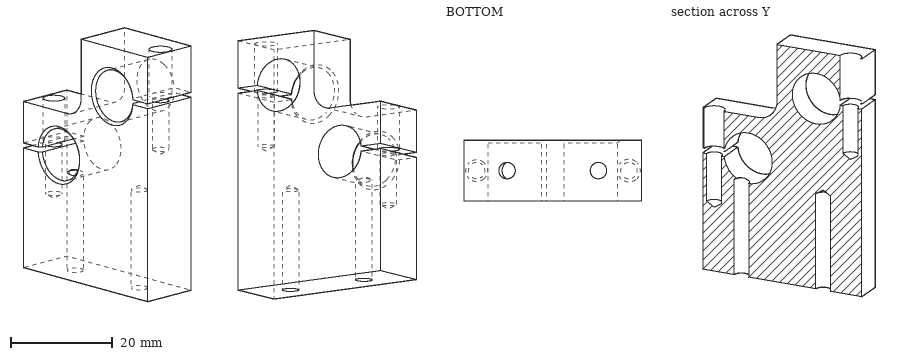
import cadquery as cq
import math

width = 35.0
thickness = 12.0
height = 50.0

step_x = 16.3
step_z = 34.0
step_fillet = 4.0

bore_diameter = 10.5
bore_chamfer = 0.6
left_bore_x = 10.0
left_bore_z = 25.0
bore_offset = 15.0
right_bore_x = left_bore_x + bore_offset
right_bore_z = left_bore_z + bore_offset

slit_height = 1.0

screw_edge_distance = 2.5
left_clearance_diameter = 4.3
right_clearance_diameter = 4.5
tap_drill_diameter = 3.24
tap_depth = 10.0
drill_point_angle = 118.0

base_hole_spacing = 18.0
base_hole_depth = 20.0


def stepped_block():
    return (
        cq.Workplane("XY")
        .moveTo(0, 0)
        .lineTo(width, 0)
        .lineTo(width, height)
        .lineTo(step_x, height)
        .lineTo(step_x, step_z + step_fillet)
        .radiusArc((step_x - step_fillet, step_z), step_fillet)
        .lineTo(0, step_z)
        .close()
        .extrude(thickness)
        .rotate((0, 0, 0), (1, 0, 0), 90)
        .translate((0, thickness, 0))
    )


def bore(x, z):
    """Through bore along Y with a 45 degree chamfer at the front face."""
    radius = bore_diameter / 2
    axis = cq.Vector(0, 1, 0)
    mouth = cq.Vector(x, 0, z)
    hole = cq.Solid.makeCylinder(radius, thickness, mouth, axis)
    chamfer = cq.Solid.makeCone(radius + bore_chamfer, radius, bore_chamfer, mouth, axis)
    return hole.fuse(chamfer)


def slit(bore_x, side_x, z):
    """Slit through the full thickness from a bore axis to a side face."""
    length = abs(side_x - bore_x)
    return (
        cq.Workplane("XY")
        .box(length, thickness, slit_height)
        .translate(((bore_x + side_x) / 2, thickness / 2, z))
    )


def tapping_hole(x, start_z, depth, direction):
    """Blind tapping hole along Z with a conical end; direction is +1 up, -1 down."""
    radius = tap_drill_diameter / 2
    point_depth = radius / math.tan(math.radians(drill_point_angle / 2))
    axis = cq.Vector(0, 0, direction)
    start = cq.Vector(x, thickness / 2, start_z)
    shaft = cq.Solid.makeCylinder(radius, depth, start, axis)
    point = cq.Solid.makeCone(radius, 0, point_depth, start + axis * depth, axis)
    return shaft.fuse(point)


def screw_hole(x, top_z, slit_z, clearance_diameter):
    """Clearance hole down to the slit, then a tapping hole below it."""
    bottom = cq.Vector(x, thickness / 2, slit_z)
    up = cq.Vector(0, 0, 1)
    clearance = cq.Solid.makeCylinder(clearance_diameter / 2, top_z - slit_z, bottom, up)
    tapping = tapping_hole(x, slit_z, slit_height / 2 + tap_depth, -1)
    return clearance.fuse(tapping)


result = (
    stepped_block()
    .cut(bore(left_bore_x, left_bore_z))
    .cut(bore(right_bore_x, right_bore_z))
    .cut(slit(left_bore_x, 0, left_bore_z))
    .cut(slit(right_bore_x, width, right_bore_z))
    .cut(screw_hole(screw_edge_distance, step_z, left_bore_z, left_clearance_diameter))
    .cut(screw_hole(width - screw_edge_distance, height, right_bore_z, right_clearance_diameter))
)
for side in (-1, 1):
    base_hole_x = width / 2 + side * base_hole_spacing / 2
    result = result.cut(tapping_hole(base_hole_x, 0, base_hole_depth, 1))